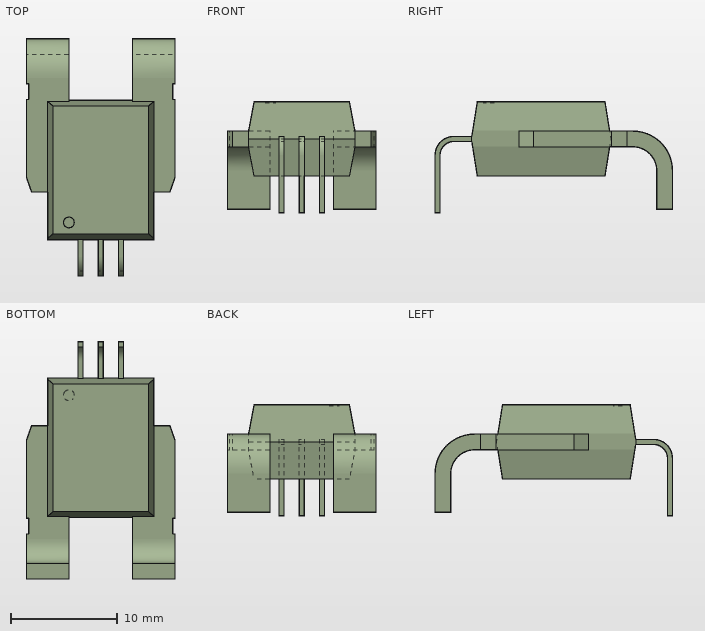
import cadquery as cq

OVERALL_LENGTH = 22.4
OVERALL_HEIGHT = 10.49

BODY_WIDTH = 10.05
BODY_LENGTH = 13.18
BODY_HEIGHT = 7.01
DRAFT_INSET_X = 0.52
DRAFT_INSET_Y = 0.55

DIMPLE_DIAMETER = 1.0
DIMPLE_DEPTH = 0.11
DIMPLE_X = -3.0
DIMPLE_Y = -4.95

TERMINAL_SPAN = 14.0
TERMINAL_WIDTH = 4.01
TERMINAL_THICKNESS = 1.5
TERMINAL_BEND_RADIUS = 3.75
TERMINAL_REAR_Y = 12.4
TERMINAL_FRONT_Y = -2.08
TERMINAL_BOTTOM_Z = -6.63
CORNER_CUT_X = 0.47
CORNER_CUT_Y = 1.35
NOTCH_DEPTH = 0.2
NOTCH_LENGTH = 1.45
NOTCH_FRONT_Y = 6.65

LEAD_SIZE = 0.5
LEAD_PITCH = 1.9
LEAD_COUNT = 3
LEAD_BEND_RADIUS = 1.8
LEAD_FRONT_Y = TERMINAL_REAR_Y - OVERALL_LENGTH
LEAD_BOTTOM_Z = BODY_HEIGHT / 2 - OVERALL_HEIGHT
LEAD_ROOT_Y = -BODY_LENGTH / 4


def make_body():
    """Intersect an end profile with flat side bands and a side profile with pointed ends."""
    half_x = BODY_WIDTH / 2
    half_y = BODY_LENGTH / 2
    half_z = BODY_HEIGHT / 2
    band_z = TERMINAL_THICKNESS / 2
    cap_x = half_x - DRAFT_INSET_X
    cap_y = half_y - DRAFT_INSET_Y
    end_profile = [
        (cap_x, half_z), (half_x, band_z), (half_x, -band_z), (cap_x, -half_z),
        (-cap_x, -half_z), (-half_x, -band_z), (-half_x, band_z), (-cap_x, half_z),
    ]
    side_profile = [
        (cap_y, half_z), (half_y, 0), (cap_y, -half_z),
        (-cap_y, -half_z), (-half_y, 0), (-cap_y, half_z),
    ]
    along_y = cq.Workplane("XZ").polyline(end_profile).close().extrude(half_y, both=True)
    along_x = cq.Workplane("YZ").polyline(side_profile).close().extrude(half_x, both=True)
    return along_y.intersect(along_x)


def bent_strip(root_y, tip_y, bottom_z, thickness, bend_radius, width):
    """Strip centred on X = 0, running along Y from root to tip, then bent straight down."""
    direction = 1 if tip_y > root_y else -1
    top_z = thickness / 2
    bend_y = tip_y - direction * bend_radius
    bend_z = top_z - bend_radius
    inner_radius = bend_radius - thickness
    inner_y = tip_y - direction * thickness
    diagonal = 0.5 ** 0.5

    def bend_middle(radius):
        return (bend_y + direction * radius * diagonal, bend_z + radius * diagonal)

    return (
        cq.Workplane("YZ")
        .moveTo(root_y, top_z)
        .lineTo(bend_y, top_z)
        .threePointArc(bend_middle(bend_radius), (tip_y, bend_z))
        .lineTo(tip_y, bottom_z)
        .lineTo(inner_y, bottom_z)
        .lineTo(inner_y, bend_z)
        .threePointArc(bend_middle(inner_radius), (bend_y, -top_z))
        .lineTo(root_y, -top_z)
        .close()
        .extrude(width / 2, both=True)
    )


def make_right_terminal():
    """Terminal on the +X side, with a cut front corner and a shallow notch in its outer edge."""
    outer_x = TERMINAL_SPAN / 2
    strip = bent_strip(
        TERMINAL_FRONT_Y, TERMINAL_REAR_Y, TERMINAL_BOTTOM_Z,
        TERMINAL_THICKNESS, TERMINAL_BEND_RADIUS, TERMINAL_WIDTH,
    ).translate((outer_x - TERMINAL_WIDTH / 2, 0, 0))
    corner = (
        cq.Workplane("XY")
        .polyline([
            (outer_x - CORNER_CUT_X, TERMINAL_FRONT_Y),
            (outer_x, TERMINAL_FRONT_Y),
            (outer_x, TERMINAL_FRONT_Y + CORNER_CUT_Y),
        ])
        .close()
        .extrude(TERMINAL_THICKNESS, both=True)
    )
    notch = (
        cq.Workplane("XY")
        .center(outer_x, NOTCH_FRONT_Y + NOTCH_LENGTH / 2)
        .rect(2 * NOTCH_DEPTH, NOTCH_LENGTH)
        .extrude(TERMINAL_THICKNESS, both=True)
    )
    return strip.cut(corner).cut(notch)


def make_dimple():
    return (
        cq.Workplane("XY", origin=(DIMPLE_X, DIMPLE_Y, BODY_HEIGHT / 2))
        .circle(DIMPLE_DIAMETER / 2)
        .extrude(-DIMPLE_DEPTH)
    )


right_terminal = make_right_terminal()
lead = bent_strip(LEAD_ROOT_Y, LEAD_FRONT_Y, LEAD_BOTTOM_Z, LEAD_SIZE, LEAD_BEND_RADIUS, LEAD_SIZE)

result = make_body().cut(make_dimple())
result = result.union(right_terminal).union(right_terminal.mirror("YZ"))
for index in range(LEAD_COUNT):
    lead_x = (index - (LEAD_COUNT - 1) / 2) * LEAD_PITCH
    result = result.union(lead.translate((lead_x, 0, 0)))